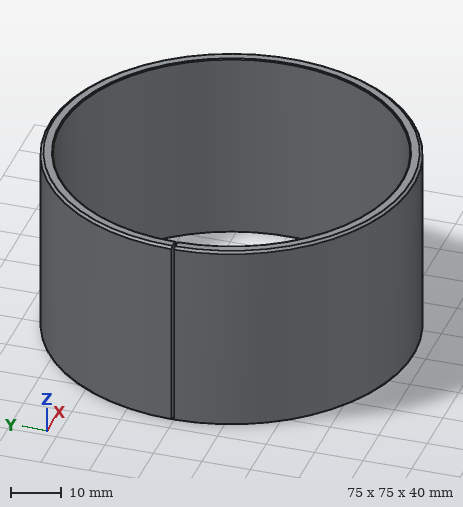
import cadquery as cq

outer_diameter = 75.0
wall = 2.5
height = 40.0
slit_width = 0.5
outer_bevel_radial = 0.6
outer_bevel_axial = 0.45
inner_bevel = 0.2

outer_radius = outer_diameter / 2
inner_radius = outer_radius - wall
half_height = height / 2

wall_section = (
    cq.Workplane("XZ")
    .moveTo(inner_radius, -half_height + inner_bevel)
    .lineTo(inner_radius + inner_bevel, -half_height)
    .lineTo(outer_radius - outer_bevel_radial, -half_height)
    .lineTo(outer_radius, -half_height + outer_bevel_axial)
    .lineTo(outer_radius, half_height - outer_bevel_axial)
    .lineTo(outer_radius - outer_bevel_radial, half_height)
    .lineTo(inner_radius + inner_bevel, half_height)
    .lineTo(inner_radius, half_height - inner_bevel)
    .close()
)
sleeve = wall_section.revolve(360, (0, 0, 0), (0, 1, 0)).rotate((0, 0, 0), (0, 0, 1), 180)

slit = cq.Workplane("XY").box(outer_radius, slit_width, height, centered=(False, True, True))
slit = slit.translate((-outer_radius, 0, 0))

result = sleeve.cut(slit)